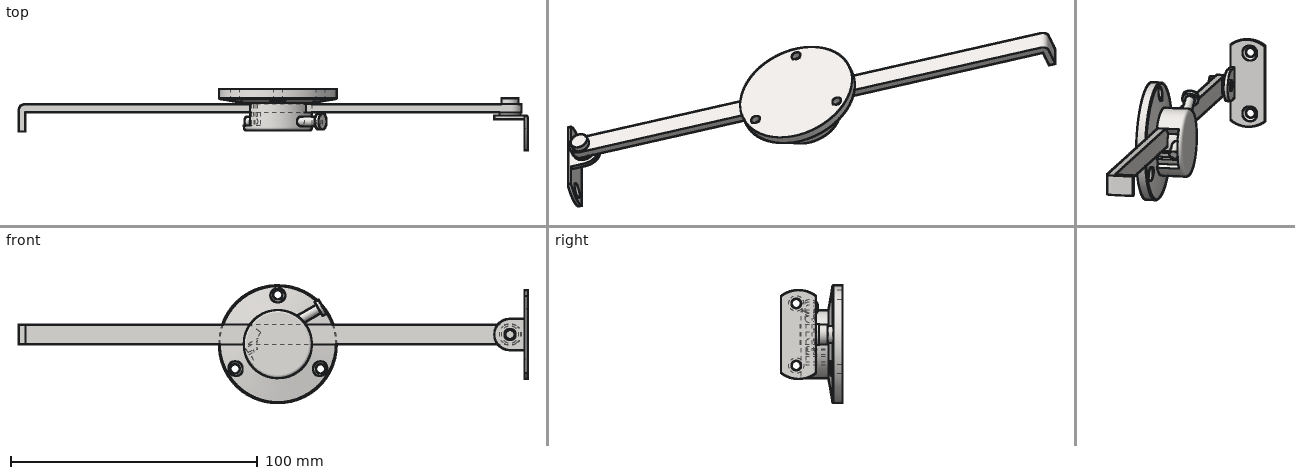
import cadquery as cq
import math


flange_radius = 24.0
rim_front = 3.7
rim_chamfer = 0.5
flange_front = 5.8
mount_circle_radius = 20.0
mount_angles = (90, 210, 330)
mount_hole_radius = 1.9
mount_sink_radius = 3.0

drum_radius = 13.8
drum_front = 17.0
drum_fillet = 1.2

window_back = flange_front
window_front = 14.9
window_start_angle = 145
window_steps = ((11.8, 218), (10.1, 205), (8.5, 194))

screw_angle = 30
screw_offset = 4.1
screw_front = 13.2
screw_shank_radius = 1.96
screw_head_radius = 3.3
screw_tip = -12.2
screw_head_start = 21.5
screw_head_end = 23.3

arm_left = -105.2
arm_right = 99.0
arm_height = 8.0
arm_center_z = 4.0
arm_back = 6.2
arm_front = 9.5
arm_leg_thickness = 2.7
arm_leg_front = 17.4
arm_bend_radius = 2.5

pin_x = 94.2
pin_head_radius = 3.5
pin_head_back = 3.7
pin_collar_radius = 4.3
pin_radius = 1.9

overall_length = 206.5
overall_depth = 25.0
bracket_right = arm_left + overall_length
ear_radius = 6.5
ear_back = 10.7
ear_front = 12.4
pin_hole_radius = 2.3
plate_thickness = 1.5
plate_height = 36.2
plate_end_rise = 2.5
plate_bend_radius = 1.0
plate_hole_front = 18.8
plate_hole_spacing = 25.2
plate_hole_radius = 1.9
plate_sink_radius = 3.0


def cylinder_y(radius, back, front, x=0, z=0):
    """Cylinder along Y between two distances from the back face."""
    return cq.Workplane(cq.Solid.makeCylinder(radius, front - back, cq.Vector(x, -back, z), cq.Vector(0, -1, 0)))


def sunk_hole(hole_radius, sink_radius, start, direction, thickness):
    """Cutter for a through hole with a 45 degree countersink at its start."""
    sink_depth = sink_radius - hole_radius
    hole = cq.Solid.makeCylinder(hole_radius, thickness, start, direction)
    sink = cq.Solid.makeCone(sink_radius, hole_radius, sink_depth, start, direction)
    return cq.Workplane(hole.fuse(sink))


def arm_bar(left, right):
    """Straight bar with the section of the arm."""
    length = right - left
    thickness = arm_front - arm_back
    bar = cq.Workplane().box(length, thickness, arm_height)
    return bar.translate(((left + right) / 2, -(arm_back + arm_front) / 2, arm_center_z))


def flange_and_drum():
    """Turned body: chamfered rim, cone-fronted flange and drum with a rounded front edge."""
    body = (
        cq.Workplane("XY")
        .moveTo(0, 0)
        .lineTo(flange_radius, 0)
        .lineTo(flange_radius, -rim_front)
        .lineTo(flange_radius - rim_chamfer, -rim_front - rim_chamfer)
        .lineTo(drum_radius, -flange_front)
        .lineTo(drum_radius, -drum_front)
        .lineTo(0, -drum_front)
        .close()
        .revolve(360, (0, 0, 0), (0, 1, 0))
    )
    return body.faces("<Y").edges().fillet(drum_fillet)


def mount_hole(angle):
    """Countersunk screw hole through the cone-fronted flange."""
    slope = (flange_front - rim_front - rim_chamfer) / (flange_radius - rim_chamfer - drum_radius)
    face_front = flange_front - slope * (mount_circle_radius - drum_radius)
    x = mount_circle_radius * math.cos(math.radians(angle))
    z = mount_circle_radius * math.sin(math.radians(angle))
    cutter = sunk_hole(
        mount_hole_radius, mount_sink_radius, cq.Vector(x, -face_front, z), cq.Vector(0, 1, 0), face_front
    )
    clearance = cylinder_y(mount_sink_radius, face_front, flange_front, x, z)
    return cutter.union(clearance)


def window_step(inner_radius, end_angle):
    """Ring sector cut out of the drum wall from the window's top edge to a radial floor."""
    reach = 2 * drum_radius
    middle_angle = (window_start_angle + end_angle) / 2
    corners = [
        (reach * math.cos(math.radians(angle)), reach * math.sin(math.radians(angle)))
        for angle in (window_start_angle, middle_angle, end_angle)
    ]
    sector = (
        cq.Workplane("XZ", origin=(0, -window_back, 0))
        .polyline([(0, 0)] + corners)
        .close()
        .extrude(window_front - window_back)
    )
    return sector.cut(cylinder_y(inner_radius, window_back, window_front))


def clamping_screw():
    """Screw set off the drum axis; modelled along +X and then tilted about Y."""
    along = cq.Vector(1, 0, 0)
    shank_start = cq.Vector(screw_tip, -screw_front, screw_offset)
    head_start = cq.Vector(screw_head_start, -screw_front, screw_offset)
    shank_length = screw_head_start - screw_tip
    shank = cq.Workplane(cq.Solid.makeCylinder(screw_shank_radius, shank_length, shank_start, along))
    head_length = screw_head_end - screw_head_start
    head = cq.Workplane(cq.Solid.makeCylinder(screw_head_radius, head_length, head_start, along))
    return shank.union(head).rotate((0, 0, 0), (0, 1, 0), -screw_angle)


def make_housing():
    """Flange, drum and screw in one solid, with the slot that the arm slides through."""
    housing = flange_and_drum()
    for angle in mount_angles:
        housing = housing.cut(mount_hole(angle))
    for inner_radius, end_angle in window_steps:
        housing = housing.cut(window_step(inner_radius, end_angle))
    housing = housing.union(clamping_screw())
    return housing.cut(arm_bar(-flange_radius, flange_radius))


def make_arm():
    """Bar with a bent leg at the left, a round right end and the pivot pin."""
    end_radius = arm_height / 2
    end_center = arm_right - end_radius
    bar = arm_bar(arm_left, end_center)
    round_end = cylinder_y(end_radius, arm_back, arm_front, end_center, arm_center_z)
    leg = cq.Workplane().box(arm_leg_thickness, arm_leg_front - arm_back, arm_height, centered=(False, False, True))
    leg = leg.translate((arm_left, -arm_leg_front, arm_center_z))
    arm = bar.union(leg).edges("|Z and <X and >Y").fillet(arm_bend_radius)
    head = cylinder_y(pin_head_radius, pin_head_back, arm_back, pin_x, arm_center_z)
    collar = cylinder_y(pin_collar_radius, arm_front, ear_back, pin_x, arm_center_z)
    pin = cylinder_y(pin_radius, ear_back, ear_front, pin_x, arm_center_z)
    return arm.union(round_end).union(head).union(collar).union(pin)


def bracket_ear():
    """Round-ended tab carrying the pivot hole, parallel to the arm."""
    length = bracket_right - pin_x
    tab = cq.Workplane().box(length, ear_front - ear_back, 2 * ear_radius, centered=(False, False, True))
    tab = tab.translate((pin_x, -ear_front, arm_center_z))
    return tab.union(cylinder_y(ear_radius, ear_back, ear_front, pin_x, arm_center_z))


def bracket_plate():
    """Screw plate square to the arm, with bowed upper and lower ends."""
    middle_y = -(ear_back + overall_depth) / 2
    top = plate_height / 2
    shoulder = top - plate_end_rise
    return (
        cq.Workplane("YZ", origin=(bracket_right - plate_thickness, 0, arm_center_z))
        .moveTo(-ear_back, -shoulder)
        .lineTo(-ear_back, shoulder)
        .threePointArc((middle_y, top), (-overall_depth, shoulder))
        .lineTo(-overall_depth, -shoulder)
        .threePointArc((middle_y, -top), (-ear_back, -shoulder))
        .close()
        .extrude(plate_thickness)
    )


def make_bracket():
    """Ear and plate in one solid, with the pivot hole and two countersunk screw holes."""
    bracket = bracket_ear().union(bracket_plate())
    bracket = bracket.edges("|Z and >X and >Y").fillet(plate_bend_radius)
    bracket = bracket.cut(cylinder_y(pin_hole_radius, ear_back, ear_front, pin_x, arm_center_z))
    for side in (-1, 1):
        hole_z = arm_center_z + side * plate_hole_spacing / 2
        start = cq.Vector(bracket_right - plate_thickness, -plate_hole_front, hole_z)
        bracket = bracket.cut(
            sunk_hole(plate_hole_radius, plate_sink_radius, start, cq.Vector(1, 0, 0), plate_thickness)
        )
    return bracket


housing = make_housing()
arm = make_arm()
bracket = make_bracket()

result = cq.Compound.makeCompound([housing.solids().val(), arm.solids().val(), bracket.solids().val()])